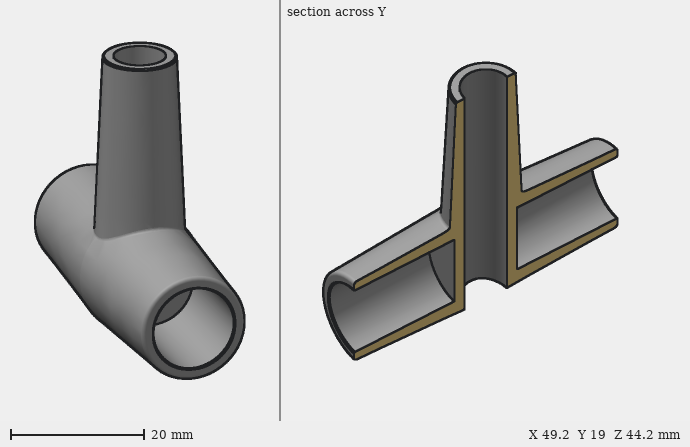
import cadquery as cq

run_length = 49.2
run_middle_radius = 9.5
run_end_radius = 8.2
run_end_rounding = 0.65

branch_top = 34.95
branch_top_radius = 5.6
branch_foot_height = 9.25
branch_foot_radius = 6.75
branch_top_chamfer = 0.25
joint_fillet = 0.5

socket_radius = 6.4
socket_depth = 18.7
socket_mouth_chamfer = 0.2
passage_radius = 3.95

half_length = run_length / 2
branch_slope = (branch_foot_radius - branch_top_radius) / (branch_top - branch_foot_height)
branch_axis_radius = branch_top_radius + branch_slope * branch_top


def make_run():
    """Two cones joined at their wide ends, with rounded outer rims."""
    outline = [
        (-half_length, 0),
        (-half_length, run_end_radius),
        (0, run_middle_radius),
        (half_length, run_end_radius),
        (half_length, 0),
    ]
    run = cq.Workplane("XY").polyline(outline).close().revolve(360, (0, 0, 0), (1, 0, 0))
    return run.faces("<X or >X").edges().fillet(run_end_rounding)


def make_branch():
    """Cone from the run axis up to the chamfered top rim."""
    outline = [(0, 0), (branch_axis_radius, 0), (branch_top_radius, branch_top), (0, branch_top)]
    branch = cq.Workplane("XZ").polyline(outline).close().revolve(360, (0, 0, 0), (0, 1, 0))
    return branch.faces(">Z").edges().chamfer(branch_top_chamfer)


def fillet_joint(body):
    """Blend the edges where the branch meets the run."""
    reach = 2 * (branch_foot_radius + joint_fillet)
    joint_zone = cq.selectors.BoxSelector(
        (-reach / 2, -reach / 2, run_middle_radius / 2),
        (reach / 2, reach / 2, run_middle_radius + joint_fillet),
        boundingbox=True,
    )
    return body.edges(joint_zone).edges("not #Z").fillet(joint_fillet)


def make_socket(side):
    """Blind bore with a chamfered mouth, entering from the -X (-1) or +X (+1) end."""
    mouth_x = side * half_length
    chamfer_x = side * (half_length - socket_mouth_chamfer)
    floor_x = side * (half_length - socket_depth)
    outline = [
        (mouth_x, 0),
        (mouth_x, socket_radius + socket_mouth_chamfer),
        (chamfer_x, socket_radius),
        (floor_x, socket_radius),
        (floor_x, 0),
    ]
    return cq.Workplane("XY").polyline(outline).close().revolve(360, (0, 0, 0), (1, 0, 0))


def make_passage():
    """Straight hole down the branch and out through the underside of the run."""
    bottom = -run_middle_radius
    return cq.Workplane("XY").workplane(offset=bottom).circle(passage_radius).extrude(branch_top - bottom)


result = fillet_joint(make_run().union(make_branch()))
for side in (-1, 1):
    result = result.cut(make_socket(side))
result = result.cut(make_passage())